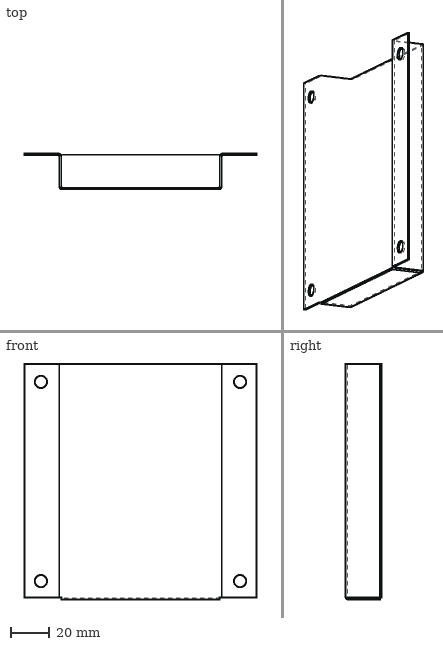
import cadquery as cq

width = 122.0
depth = 19.1
height = 123.8

thickness = 1.0
inner_radius = 0.7
outer_radius = inner_radius + thickness

channel_width = 85.5
inner_width = channel_width - 2 * thickness
side_bottom = 1.1

lip_width = inner_width
lip_back_gap = 0.7
lip_depth = depth - lip_back_gap

hole_diameter = 6.3
hole_spacing = 104.6
hole_top_margin = 9.4
hole_center_z = height - hole_top_margin - hole_spacing / 2


def channel_box(box_width, front, back, bottom):
    """Block centred on X, from the given front, back and bottom up to full height."""
    return cq.Workplane("XY").box(
        box_width, back - front, height - bottom, centered=(True, False, False)
    ).translate((0, front, bottom))


def wall_edges_at(y):
    """Selector for the vertical edges on the outer wall faces at the given Y."""
    half_width = channel_width / 2 + thickness / 2
    return cq.selectors.BoxSelector(
        (-half_width, y - thickness / 2, 0),
        (half_width, y + thickness / 2, height),
    ) & cq.selectors.ParallelDirSelector(cq.Vector(0, 0, 1))


def make_hat():
    """Front plate, two walls and two flanges with rounded bends."""
    outside = channel_box(channel_width, 0, depth, side_bottom)
    flanges = channel_box(width, depth - thickness, depth, side_bottom)
    body = outside.union(flanges)
    body = body.edges("|Z and <Y").fillet(outer_radius)
    body = body.edges(wall_edges_at(depth - thickness)).fillet(inner_radius)

    cavity = channel_box(inner_width, thickness, depth, side_bottom)
    cavity = cavity.edges("|Z and <Y").fillet(inner_radius)
    mouth = channel_box(inner_width + 2 * outer_radius, depth - outer_radius, depth, side_bottom)
    for side in (-1, 1):
        bend = (
            cq.Workplane("XY", origin=(0, 0, side_bottom))
            .center(side * (inner_width / 2 + outer_radius), depth - outer_radius)
            .circle(outer_radius)
            .extrude(height - side_bottom)
        )
        mouth = mouth.cut(bend)
    return body.cut(cavity).cut(mouth)


def make_lip():
    """Bottom lip bent back from the lower edge of the front plate."""
    plate_top = 2 * outer_radius
    return (
        cq.Workplane("YZ", origin=(-lip_width / 2, 0, 0))
        .moveTo(lip_depth, 0)
        .lineTo(outer_radius, 0)
        .radiusArc((0, outer_radius), outer_radius)
        .lineTo(0, plate_top)
        .lineTo(thickness, plate_top)
        .lineTo(thickness, outer_radius)
        .radiusArc((outer_radius, thickness), -inner_radius)
        .lineTo(lip_depth, thickness)
        .close()
        .extrude(lip_width)
    )


def make_envelope():
    """Block that rounds the bottom front edge and the two vertical front corners."""
    channel = channel_box(channel_width, 0, depth, 0)
    channel = channel.edges("|Z and <Y").fillet(outer_radius)
    flange_space = channel_box(width, depth / 2, depth, 0)
    bend_profile = channel_box(width, 0, depth, 0).edges("|X and <Y and <Z").fillet(outer_radius)
    return channel.union(flange_space).intersect(bend_profile)


def make_holes():
    """Four mounting holes through the flanges."""
    return (
        cq.Workplane("XZ", origin=(0, depth, hole_center_z))
        .rect(hole_spacing, hole_spacing, forConstruction=True)
        .vertices()
        .circle(hole_diameter / 2)
        .extrude(2 * thickness)
    )


result = make_hat().union(make_lip()).intersect(make_envelope()).cut(make_holes())